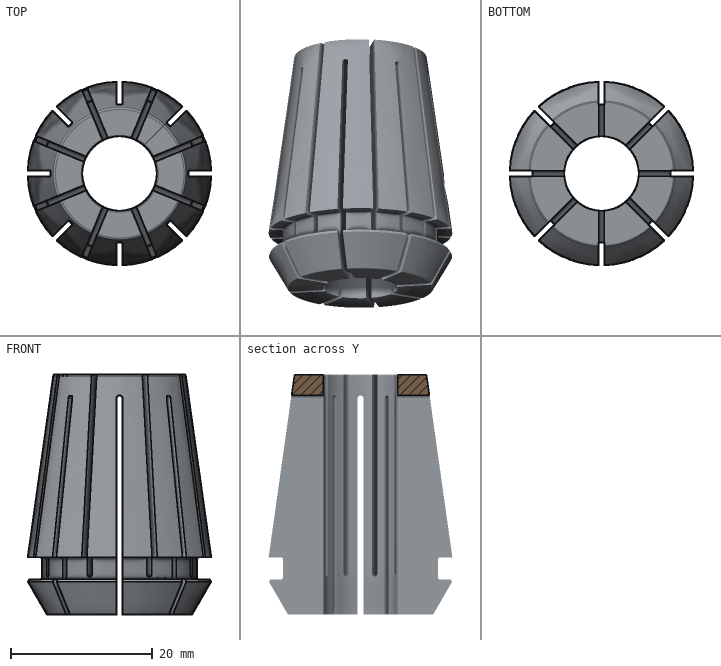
import cadquery as cq
import math

length = 34.0
bore_radius = 10.5 / 2
bore_mouth_fillet = 0.2

taper_base_radius = 13.0
taper_base_z = 8.1
taper_half_angle = math.radians(8)
top_edge_fillet = 0.3

groove_radius = 11.0
nose_top_z = 5.0
groove_corner_fillet = 0.2

nose_rim_corner_radius = 13.15
nose_rim_chamfer = 0.4
nose_half_angle = math.radians(30)
nose_edge_fillet = 0.2

slot_count = 8
slot_width = 0.8
nose_slot_end_z = 31.0
top_slot_end_z = 5.4
slot_overrun = 1.0

taper_top_radius = taper_base_radius - (length - taper_base_z) * math.tan(taper_half_angle)
nose_bottom_radius = nose_rim_corner_radius - nose_top_z * math.tan(nose_half_angle)


def circles_of_radius(body, radius):
    """Select the circular edges of one radius."""
    return body.edges("%CIRCLE").filter(lambda edge: math.isclose(edge.radius(), radius))


def make_body():
    """Revolve the outer and bore profile about Z, then break its edges."""
    profile = [
        (bore_radius, 0),
        (nose_bottom_radius, 0),
        (nose_rim_corner_radius, nose_top_z),
        (groove_radius, nose_top_z),
        (groove_radius, taper_base_z),
        (taper_base_radius, taper_base_z),
        (taper_top_radius, length),
        (bore_radius, length),
    ]
    body = cq.Workplane("XZ").polyline(profile).close().revolve(360, (0, 0), (0, 1))
    innermost = cq.selectors.RadiusNthSelector(0)
    outermost = cq.selectors.RadiusNthSelector(-1)
    body = circles_of_radius(body, groove_radius).fillet(groove_corner_fillet)
    body = circles_of_radius(body, nose_rim_corner_radius).chamfer(nose_rim_chamfer)
    body = body.faces(">Z").edges(outermost).fillet(top_edge_fillet)
    body = body.faces(">Z").edges(innermost).fillet(bore_mouth_fillet)
    return body.faces("<Z").edges(outermost).fillet(nose_edge_fillet)


def make_slot(open_z, end_z, angle):
    """Full-diameter slot from an open end face to a round end, turned about Z."""
    half_width = slot_width / 2
    half_span = taper_base_radius + slot_overrun
    toward_end = math.copysign(1, end_z - open_z)
    round_start_z = end_z - toward_end * half_width
    mouth_z = open_z - toward_end * slot_overrun
    return (
        cq.Workplane("XZ")
        .moveTo(-half_width, mouth_z)
        .lineTo(-half_width, round_start_z)
        .threePointArc((0, end_z), (half_width, round_start_z))
        .lineTo(half_width, mouth_z)
        .close()
        .extrude(half_span, both=True)
        .rotate((0, 0, 0), (0, 0, 1), angle)
    )


slot_pitch = 360 / slot_count
result = make_body()
for index in range(slot_count // 2):
    nose_slot_angle = index * slot_pitch
    result = result.cut(make_slot(0, nose_slot_end_z, nose_slot_angle))
    result = result.cut(make_slot(length, top_slot_end_z, nose_slot_angle + slot_pitch / 2))